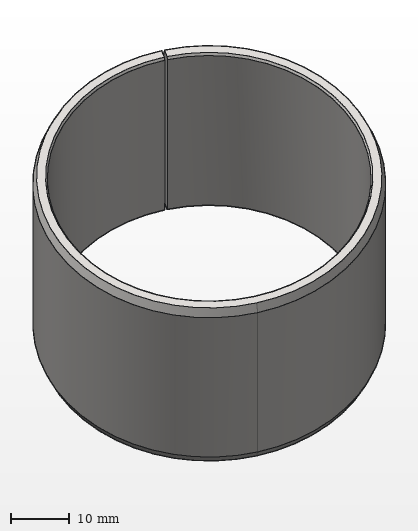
import cadquery as cq

outer_diameter = 60.0
inner_diameter = 55.0
height = 40.0
outer_chamfer_height = 1.8
outer_chamfer_depth = 0.65
inner_chamfer_height = 0.5
inner_chamfer_depth = 0.3
split_width = 0.5

outer_radius = outer_diameter / 2
inner_radius = inner_diameter / 2
half_height = height / 2


def make_sleeve():
    """Revolve the wall section, chamfered at all four corners."""
    shoulder = half_height - outer_chamfer_height
    face_outer = outer_radius - outer_chamfer_depth
    face_inner = inner_radius + inner_chamfer_depth
    bore_end = half_height - inner_chamfer_height
    section = [
        (outer_radius, -shoulder),
        (outer_radius, shoulder),
        (face_outer, half_height),
        (face_inner, half_height),
        (inner_radius, bore_end),
        (inner_radius, -bore_end),
        (face_inner, -half_height),
        (face_outer, -half_height),
    ]
    return cq.Workplane("XZ").polyline(section).close().revolve(360, (0, 0), (0, 1))


def make_split():
    """Slab that opens the wall on the -X side over the full height."""
    slab = cq.Workplane("XY").box(outer_radius, split_width, height)
    return slab.translate((-outer_radius, split_width / 2, 0))


result = make_sleeve().cut(make_split())